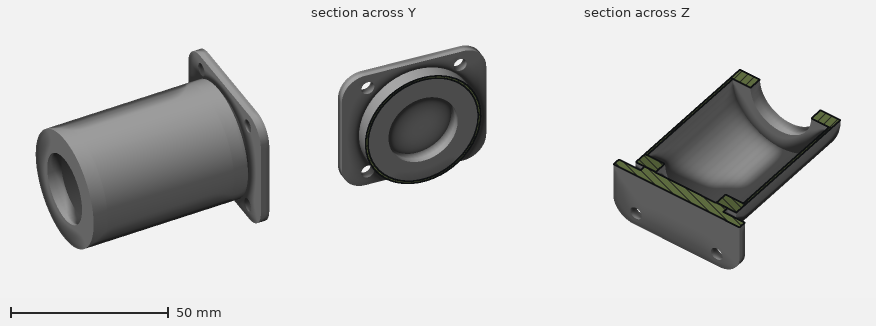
import cadquery as cq


body_diameter = 40.0
sleeve_wall = 1.0
sleeve_length = 45.0
ring_bore_diameter = 24.0
ring_length = 5.0

neck_diameter = 33.0
neck_length = 2.0
plate_width = 50.0
plate_height = 42.0
plate_thickness = 3.0
plate_corner_radius = 8.0
mount_hole_diameter = 4.5
mount_hole_spacing = 32.0

sleeve_bore_diameter = body_diameter - 2 * sleeve_wall

front_ring_start = 0.0
sleeve_start = front_ring_start + ring_length
rear_ring_start = sleeve_start + sleeve_length
neck_start = rear_ring_start + ring_length
plate_start = neck_start + neck_length


def cross_section(y):
    """Workplane across the axis at the given Y, extruding toward +Y (local x = Z, local y = X)."""
    return cq.Workplane(cq.Plane(origin=(0, y, 0), xDir=(0, 0, 1), normal=(0, 1, 0)))


def make_tube(start, length, bore_diameter):
    """Round tube with the common outside diameter."""
    return (
        cross_section(start)
        .circle(body_diameter / 2)
        .circle(bore_diameter / 2)
        .extrude(length)
    )


def make_end_ring(start):
    return make_tube(start, ring_length, ring_bore_diameter)


def make_sleeve():
    return make_tube(sleeve_start, sleeve_length, sleeve_bore_diameter)


def make_flange():
    """Rounded plate with four mounting holes and a solid round neck on its front face."""
    plate = (
        cross_section(plate_start)
        .rect(plate_height, plate_width)
        .extrude(plate_thickness)
        .edges("|Y")
        .fillet(plate_corner_radius)
    )
    mount_holes = (
        cross_section(plate_start)
        .rect(mount_hole_spacing, mount_hole_spacing, forConstruction=True)
        .vertices()
        .circle(mount_hole_diameter / 2)
        .extrude(plate_thickness)
    )
    neck = cross_section(neck_start).circle(neck_diameter / 2).extrude(neck_length)
    return plate.cut(mount_holes).union(neck)


end_rings = [make_end_ring(start) for start in (front_ring_start, rear_ring_start)]
sleeve = make_sleeve()
flange = make_flange()

result = cq.Compound.makeCompound([
    *[ring.val() for ring in end_rings],
    sleeve.val(),
    flange.solids().val(),
])